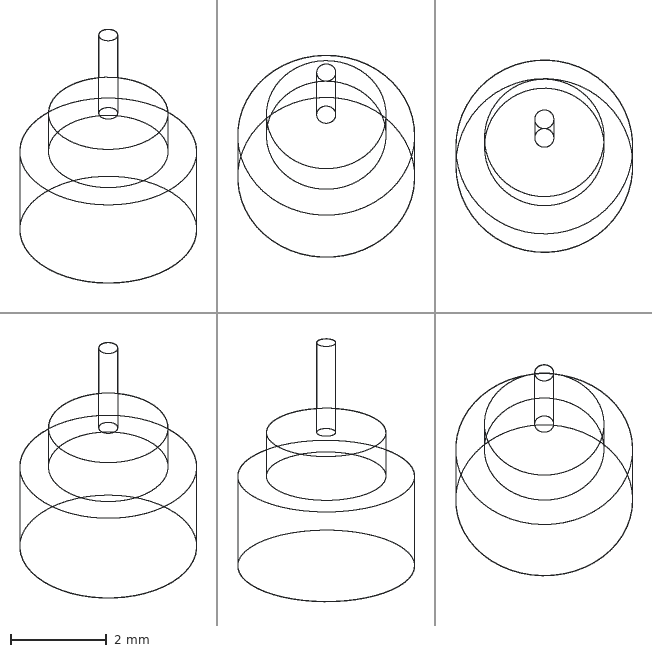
import cadquery as cq

total_height = 5.1
body_diameter = 3.7
body_height = 2.05
collar_diameter = 2.5
collar_height = 1.0
pin_diameter = 0.4

body_radius = body_diameter / 2
collar_radius = collar_diameter / 2
pin_radius = pin_diameter / 2
collar_top = body_height + collar_height

half_section = (
    cq.Workplane("XZ")
    .moveTo(0, 0)
    .lineTo(body_radius, 0)
    .lineTo(body_radius, body_height)
    .lineTo(collar_radius, body_height)
    .lineTo(collar_radius, collar_top)
    .lineTo(pin_radius, collar_top)
    .lineTo(pin_radius, total_height)
    .lineTo(0, total_height)
    .close()
)

result = half_section.revolve(360, (0, 0, 0), (0, 1, 0))